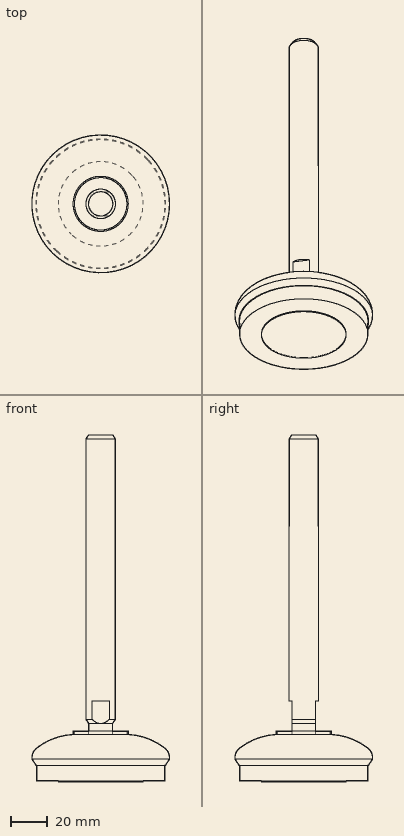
import cadquery as cq

total_height = 189.0
tread_height = 0.5
pad_top = 9.0
rim_bottom = 12.5
rim_top = 18.7
dome_top = 25.9
boss_top = 27.5
neck_top = 31.7
shank_bottom = 34.0
flats_top = 44.0

pad_radius = 35.0
tread_radius = 23.0

skirt_radius = 35.3
rim_radius = 75.0 / 2
rim_mid_radius = 36.8
rim_mid_height = 16.0
dome_edge_radius = 34.5
dome_mid_radius = 26.3
dome_mid_height = 23.5

boss_radius = 30.0 / 2
boss_wall = 0.8
collar_radius = boss_radius - boss_wall

shank_radius = 16.0 / 2
neck_radius = 13.0 / 2
across_flats = 2 * neck_radius
tip_radius = 6.6
tip_chamfer_length = shank_bottom - neck_top


def disc(radius, bottom, top):
    """Upright cylinder on the Z axis between two heights."""
    return cq.Workplane("XY").workplane(offset=bottom).circle(radius).extrude(top - bottom)


def make_pad():
    """Base pad with a thin raised tread underneath."""
    body = disc(pad_radius, tread_height, pad_top)
    return body.union(disc(tread_radius, 0, tread_height))


def make_housing():
    """Revolved dome with a rounded rim, a tapered lower edge and a recessed boss on top."""
    return (
        cq.Workplane("XZ")
        .moveTo(0, pad_top)
        .lineTo(skirt_radius, pad_top)
        .lineTo(rim_radius, rim_bottom)
        .threePointArc((rim_mid_radius, rim_mid_height), (dome_edge_radius, rim_top))
        .threePointArc((dome_mid_radius, dome_mid_height), (boss_radius, dome_top))
        .lineTo(boss_radius, boss_top)
        .lineTo(collar_radius, boss_top)
        .lineTo(collar_radius, dome_top)
        .lineTo(0, dome_top)
        .close()
        .revolve(360, (0, 0, 0), (0, 1, 0))
    )


def make_collar():
    """Disc around the stud neck, set flush into the boss of the housing."""
    return disc(collar_radius, dome_top, boss_top).cut(disc(neck_radius, dome_top, boss_top))


def make_stud():
    """Shank with tapered ends, a neck below it and two wrench flats facing -Y and +Y."""
    stud = (
        cq.Workplane("XZ")
        .moveTo(0, dome_top)
        .lineTo(neck_radius, dome_top)
        .lineTo(neck_radius, neck_top)
        .lineTo(shank_radius, shank_bottom)
        .lineTo(shank_radius, total_height - tip_chamfer_length)
        .lineTo(tip_radius, total_height)
        .lineTo(0, total_height)
        .close()
        .revolve(360, (0, 0, 0), (0, 1, 0))
    )
    flat_depth = shank_radius - across_flats / 2
    flat_offset = (shank_radius + across_flats / 2) / 2
    for side in (-1, 1):
        cutter = (
            cq.Workplane("XY")
            .workplane(offset=neck_top)
            .center(0, side * flat_offset)
            .rect(2 * shank_radius, flat_depth)
            .extrude(flats_top - neck_top)
        )
        stud = stud.cut(cutter)
    return stud


pad = make_pad()
housing = make_housing()
collar = make_collar()
stud = make_stud()

result = cq.Compound.makeCompound([pad.val(), housing.val(), collar.val(), stud.val()])